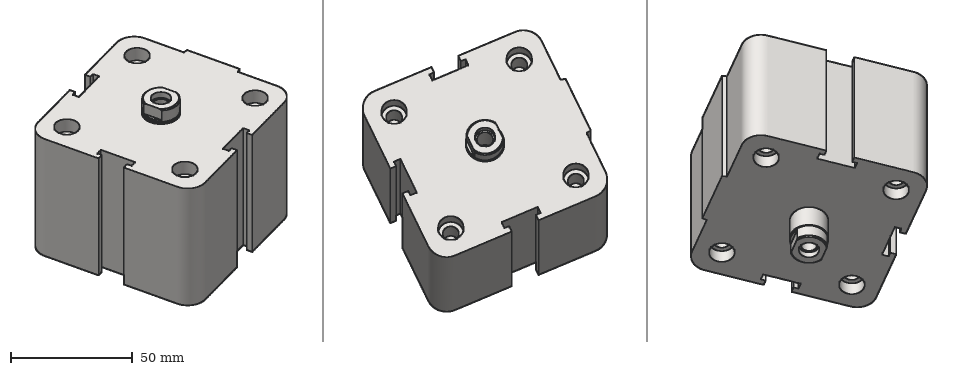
import cadquery as cq


housing_side = 80.0
housing_height = 60.35
corner_radius = 8.3

rib_height = 2.0
rib_base_width = 25.8
rib_top_width = 25.2

slot_mouth_width = 12.1
slot_inner_width = 16.3
slot_lip = 2.6
slot_depth = 5.5

hole_spacing = 56.4
mount_bore_diameter = 10.5
mount_bore_depth = 6.5
mount_hole_diameter = 6.6
mount_hole_depth = 17.0

rod_length = 85.0
rod_top = 7.4
rod_diameter = 16.0
rod_end_diameter = 15.6
rod_end_length = 6.3
rod_shoulder_taper = 0.3
rod_tip_chamfer = 0.5
flat_width = 13.1
flat_length = 5.4
rod_bore_diameter = 8.3
rod_bore_depth = 3.0
rod_hole_diameter = 6.6
rod_hole_depth = 17.0

half_side = housing_side / 2
rod_top_z = housing_height + rod_top
rod_middle_z = rod_top_z - rod_length / 2


def cylinder(diameter, bottom_z, height):
    """Upright cylinder on the Z axis."""
    return cq.Workplane("XY", origin=(0, 0, bottom_z)).circle(diameter / 2).extrude(height)


def mirrored(shape, middle_z):
    """Copy of a shape reflected in the horizontal plane at middle_z."""
    return shape.mirror("XY", (0, 0, middle_z))


def stepped_hole(top_z, bore_diameter, bore_depth, hole_diameter, hole_depth):
    """Cutter for a blind hole with a wider bore at its mouth, opening upwards at top_z."""
    bore = cylinder(bore_diameter, top_z - bore_depth, bore_depth)
    hole = cylinder(hole_diameter, top_z - hole_depth, hole_depth)
    return bore.union(hole)


def make_t_slot():
    """Full-height T-slot cutter in the -Y side."""
    mouth = cq.Workplane("XY").rect(slot_mouth_width, 2 * slot_depth).extrude(housing_height)
    undercut_depth = slot_depth - slot_lip
    undercut = (
        cq.Workplane("XY")
        .center(0, slot_lip + undercut_depth / 2)
        .rect(slot_inner_width, undercut_depth)
        .extrude(housing_height)
    )
    return mouth.union(undercut).translate((0, -half_side, 0))


def make_rib():
    """Full-height tapered rib on the +Y side."""
    return (
        cq.Workplane("XY")
        .moveTo(-rib_base_width / 2, 0)
        .lineTo(-rib_base_width / 2, half_side)
        .lineTo(-rib_top_width / 2, half_side + rib_height)
        .lineTo(rib_top_width / 2, half_side + rib_height)
        .lineTo(rib_base_width / 2, half_side)
        .lineTo(rib_base_width / 2, 0)
        .close()
        .extrude(housing_height)
    )


def make_housing():
    """Housing with rib, T-slots, mounting holes and the bore that the rod fills."""
    housing = (
        cq.Workplane("XY")
        .rect(housing_side, housing_side)
        .extrude(housing_height)
        .edges("|Z")
        .fillet(corner_radius)
        .union(make_rib())
    )

    slot = make_t_slot()
    for angle in (-90, 0, 90):
        housing = housing.cut(slot.rotate((0, 0, 0), (0, 0, 1), angle))

    top_hole = stepped_hole(
        housing_height, mount_bore_diameter, mount_bore_depth, mount_hole_diameter, mount_hole_depth
    )
    bottom_hole = mirrored(top_hole, housing_height / 2)
    for x_side in (-1, 1):
        for y_side in (-1, 1):
            place = (x_side * hole_spacing / 2, y_side * hole_spacing / 2, 0)
            housing = housing.cut(top_hole.translate(place)).cut(bottom_hole.translate(place))

    return housing.cut(cylinder(rod_diameter, 0, housing_height))


def make_flat_cutter():
    """Cutter for the two wrench flats at the upper rod end."""
    flat_z = rod_top_z - flat_length
    jaw_size = 2 * rod_diameter
    around = cq.Workplane("XY", origin=(0, 0, flat_z)).rect(jaw_size, jaw_size).extrude(flat_length)
    between = cq.Workplane("XY", origin=(0, 0, flat_z)).rect(jaw_size, flat_width).extrude(flat_length)
    return around.cut(between)


def make_rod():
    """Rod with two identical ends, made from its upper half and a mirrored copy."""
    rod_radius = rod_diameter / 2
    end_radius = rod_end_diameter / 2
    tip_radius = end_radius - rod_tip_chamfer
    shoulder_z = rod_top_z - rod_end_length
    upper_half = (
        cq.Workplane("XZ")
        .moveTo(0, rod_middle_z)
        .lineTo(rod_radius, rod_middle_z)
        .lineTo(rod_radius, shoulder_z - rod_shoulder_taper)
        .lineTo(end_radius, shoulder_z)
        .lineTo(end_radius, rod_top_z - rod_tip_chamfer)
        .lineTo(tip_radius, rod_top_z)
        .lineTo(0, rod_top_z)
        .close()
        .revolve(360, (0, 0, 0), (0, 1, 0))
    )
    top_hole = stepped_hole(
        rod_top_z, rod_bore_diameter, rod_bore_depth, rod_hole_diameter, rod_hole_depth
    )
    upper_half = upper_half.cut(make_flat_cutter()).cut(top_hole)
    return upper_half.union(mirrored(upper_half, rod_middle_z))


housing = make_housing()
rod = make_rod()
result = cq.Compound.makeCompound([housing.val(), rod.val()])